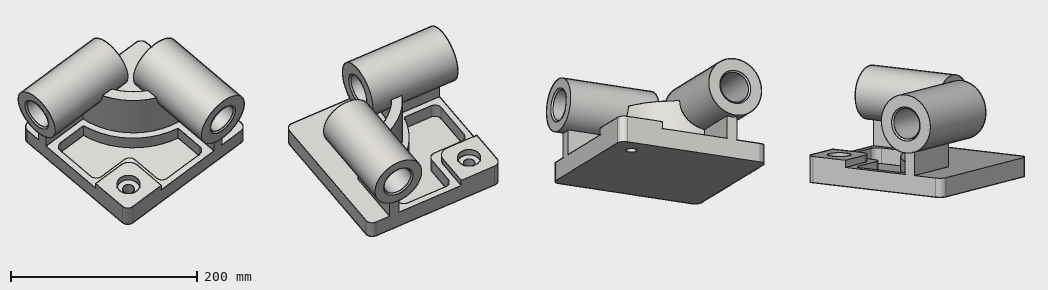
import cadquery as cq

base_length_x = 165.0
base_length_y = 175.0
base_thickness = 21.0
base_corner_radius = 8.0

pad_size = 50.0
pad_top = 28.8
pad_corner_radius = 12.5
bolt_hole_diameter = 12.5
counterbore_diameter = 25.0
counterbore_depth = 8.0

axis_height = 77.8
tube_length = 107.0
tube_bore_diameter = 33.5
bore_chamfer = 1.75
x_tube_diameter = 63.5
x_tube_axis_y = 133.5
x_tube_overhang = 7.54
y_tube_diameter = 58.6
y_tube_axis_x = 31.0
y_tube_overhang = 8.22

wall_thickness = 12.0
ring_inner_radius = 74.0
ring_outer_radius = ring_inner_radius + wall_thickness
ring_center_x = y_tube_axis_x - wall_thickness / 2
ring_center_y = x_tube_axis_y + wall_thickness / 2

pocket_floor = 4.0
pocket_margin = 7.2
pocket_corner_radius = 8.0


def box_between(x_min, x_max, y_min, y_max, z_min, z_max):
    """Block given by its limits along each axis."""
    block = cq.Workplane("XY").box(x_max - x_min, y_max - y_min, z_max - z_min, centered=False)
    return block.translate((x_min, y_min, z_min))


def make_base():
    """Rectangular plate with the bolt pad, trimmed by common rounded corners."""
    plate = box_between(0, base_length_x, 0, base_length_y, 0, base_thickness)
    pad_left = base_length_x - pad_size
    pad = box_between(pad_left, base_length_x, 0, pad_size, 0, pad_top)
    pad = pad.edges("|Z and <X and >Y").fillet(pad_corner_radius)
    outline = box_between(0, base_length_x, 0, base_length_y, 0, pad_top)
    outline = outline.edges("|Z").fillet(base_corner_radius)
    return plate.union(pad).intersect(outline)


def make_walls():
    """Straight wall under each tube and the quarter ring that links them."""
    y_wall = box_between(
        ring_center_x, ring_center_x + wall_thickness,
        0, ring_center_y - ring_inner_radius,
        0, axis_height,
    )
    x_wall = box_between(
        ring_center_x + ring_inner_radius, base_length_x,
        ring_center_y - wall_thickness, ring_center_y,
        0, axis_height,
    )
    ring = (
        cq.Workplane("XY")
        .center(ring_center_x, ring_center_y)
        .circle(ring_outer_radius)
        .circle(ring_inner_radius)
        .extrude(axis_height)
    )
    quadrant = box_between(
        ring_center_x, ring_center_x + ring_outer_radius,
        ring_center_y - ring_outer_radius, ring_center_y,
        0, axis_height,
    )
    return y_wall.union(x_wall).union(ring.intersect(quadrant))


def make_pocket():
    """Pocket volume with rounded corners and an arc concentric with the ring."""
    left = ring_center_x + wall_thickness + pocket_margin
    right = base_length_x - pocket_margin
    front = pocket_margin
    back = ring_center_y - wall_thickness - pocket_margin
    step_x = base_length_x - pad_size - pocket_margin
    step_y = pad_size + pocket_margin
    arc_radius = ring_outer_radius + pocket_margin
    pocket = box_between(left, right, front, back, pocket_floor, base_thickness)
    pocket = pocket.cut(box_between(step_x, right, front, step_y, pocket_floor, base_thickness))
    pocket = pocket.edges("|Z").fillet(pocket_corner_radius)
    ring_clearance = (
        cq.Workplane("XY")
        .center(ring_center_x, ring_center_y)
        .circle(arc_radius)
        .extrude(base_thickness)
    )
    return pocket.cut(ring_clearance)


def make_bolt_hole():
    """Through hole and counterbore at the middle of the pad."""
    pad_center = (base_length_x - pad_size / 2, pad_size / 2)
    hole = cq.Workplane("XY").center(*pad_center).circle(bolt_hole_diameter / 2).extrude(pad_top)
    counterbore = (
        cq.Workplane("XY", origin=(0, 0, pad_top))
        .center(*pad_center)
        .circle(counterbore_diameter / 2)
        .extrude(-counterbore_depth)
    )
    return hole.union(counterbore)


def along_x(shape):
    """Turn a shape built along +Z and place it on the X tube axis, ending past the right edge."""
    start_x = base_length_x + x_tube_overhang - tube_length
    return shape.rotate((0, 0, 0), (0, 1, 0), 90).translate((start_x, x_tube_axis_y, axis_height))


def along_y(shape):
    """Turn a shape built along +Z and place it on the Y tube axis, starting before the front edge."""
    return shape.rotate((0, 0, 0), (1, 0, 0), -90).translate((y_tube_axis_x, -y_tube_overhang, axis_height))


def make_bore():
    """Tube bore along +Z, widened by a chamfer at both ends."""
    bore_radius = tube_bore_diameter / 2
    mouth_radius = bore_radius + bore_chamfer
    profile = [
        (0, 0),
        (mouth_radius, 0),
        (bore_radius, bore_chamfer),
        (bore_radius, tube_length - bore_chamfer),
        (mouth_radius, tube_length),
        (0, tube_length),
    ]
    return cq.Workplane("XZ").polyline(profile).close().revolve(360, (0, 0, 0), (0, 1, 0))


def make_cylinder(diameter):
    """Solid tube body along +Z."""
    return cq.Workplane("XY").circle(diameter / 2).extrude(tube_length)


body = make_base().union(make_walls())
body = body.union(along_x(make_cylinder(x_tube_diameter)))
body = body.union(along_y(make_cylinder(y_tube_diameter)))
body = body.cut(along_x(make_bore())).cut(along_y(make_bore()))
result = body.cut(make_pocket()).cut(make_bolt_hole())